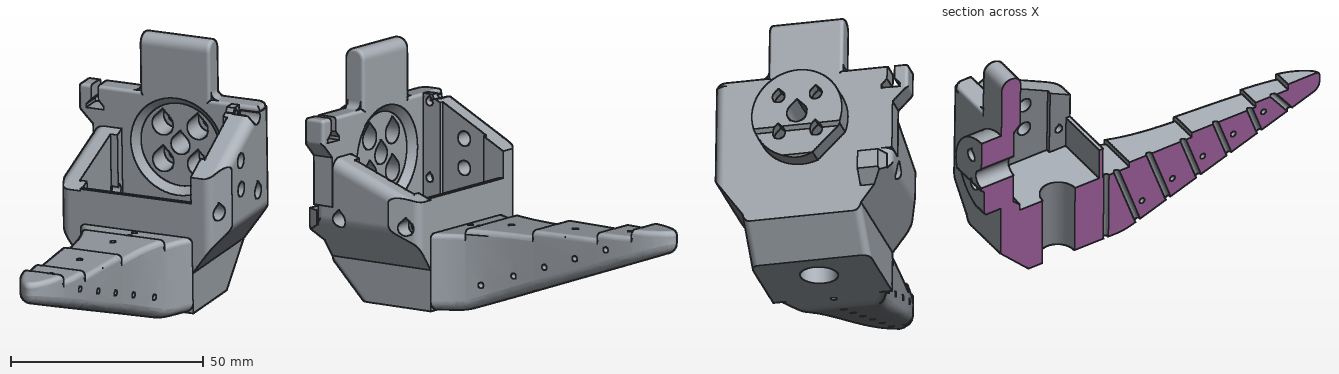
import cadquery as cq
import math

INNER_HALF = 15.85
POD_HALF = 24.0
REAR_Y = 31.8
PLATE_THICK = 6.0
PLATE_Y = REAR_Y - PLATE_THICK
PLATE_TOP = 49.6
FLOOR_Z = 20.8
FRONT_WALL = 1.2
FRONT_WALL_TOP = 30.1
TALL = 80.0

BASE_HALF = 16.0
BASE_REAR_CHAMFER = 8.8
BASE_SIDE_ROUND = 2.0
DRAIN_D = 10.0
DRAIN_Y = 13.7

POD_FOOT_Z = 11.0
POD_KNEE_Z = 22.0
POD_KNEE_ROUND = 4.0
POD_TAPER_Y = 7.8
POD_FRONT_HALF = 21.0
POD_CORNER_ROUND = 2.6
POD_OVERLAP = 2.0
POD_TOP_ROUND = 3.0
LEFT_REAR_Z, LEFT_FRONT_Z = 38.8, 29.6
RIGHT_FRONT_Z = 37.3
RIGHT_SLOPE = 0.51

PLATE_LEFT, PLATE_RIGHT = -24.1, 23.8
PLATE_BOTTOM = 26.0
TAB_CENTER, TAB_WIDTH, TAB_TOP = -0.45, 20.0, 65.45
TAB_FLAT = 0.1
TAB_ROOT_ROUND = 2.0
EDGE_ROUND = 0.9
CORNER_ROUND = 3.0
HOOK_LEFT = -28.1
HOOK_LOW_Z, HOOK_ROOT_Z = 43.2, 39.1
SLOT_CENTER, SLOT_NECK, SLOT_FOOT = -23.5, 2.0, 5.0
SLOT_BOTTOM_Z, SLOT_FOOT_Z, SLOT_NECK_Z = 43.3, 44.2, 45.8

BOSS_Z = 35.8
BOSS_R = 12.15
BOSS_Y = 37.95
BOSS_FLAT = 11.0
BOSS_STEP = 1.0
BOSS_STEP_Z = 31.2
BOSS_UNDERCUT_Z = 24.3
RECESS_R, RECESS_DEPTH = 13.3, 2.0
HORN_HOLE_D = 5.4
SCREW_PITCH = 10.0
SCREW_D, SCREW_HEAD_D = 3.3, 6.0
SCREW_WEB = 2.0

STEP_ENDS = [-8.2, -27.6, -47.4, -57.5]
STEP_TOPS = [20.6, 22.1, 23.6, 25.1, 26.9]
TIP_Y = -67.45
FLANK = [(16.0, 0.0), (13.6, -4.2), (11.9, -8.2), (10.2, -14.5), (8.65, -27.6), (7.3, -47.4), (5.9, -57.5)]
TIP_SHOULDER = (4.0, -63.2)
SOLE_Y = -6.8
SOLE_ANGLE = math.atan(0.355)
SOLE_BEND = 15.0
SOLE_ROUND = 2.8
STEP_ROUND = 1.3
LACE_D = 1.5
LACE_PITCH = 10.0
ROOT_HOLE_Y = -1.1
SOLE_HOLES, SOLE_HOLE_START = 6, 4.5
TIP_HOLE_LEAN = math.radians(37)
CROSS_HOLES, CROSS_HOLE_START, CROSS_HOLE_RISE = 5, 7.7, 5.3

RIDGE_OUTER, RIDGE_Y, RIDGE_TOP, RIDGE_CHAMFER = 18.0, 21.7, 48.4, 1.2
GROOVE_Y, GROOVE_RISE, GROOVE_R = 23.8, 0.8, 2.2

LUG_LEFT, LUG_RIGHT, LUG_SLANT = -22.8, -15.8, 1.5
LUG_Y, LUG_TOP, LUG_LOW = 35.2, 24.2, 19.2

LEFT_POCKET_Y, LEFT_POCKET_DEPTH = (4.0, 23.1), 2.0
RIGHT_POCKET_Y, RIGHT_POCKET_DEPTH = (6.3, 20.4), 1.2

POD_SCREW_D, POD_HEAD_D, POD_SCREW_WEB = 2.2, 4.0, 2.5
POD_SCREW_Y = (3.4, 23.8)
LEFT_SCREW_Z, RIGHT_SCREW_Z, RIGHT_HIGH_SCREW_Z = 22.7, 27.3, 47.6
CABLE_D, CABLE_Y, CABLE_Z = 4.0, 13.5, (31.0, 38.8)

ROLL, PITCH = 0.7, 0.4


def box(x0, x1, y0, y1, z0, z1):
    return cq.Workplane("XY").box(x1 - x0, y1 - y0, z1 - z0, centered=False).translate((x0, y0, z0))


def prism_x(points, x0, x1):
    """Extrude a (Y, Z) outline from x0 to x1."""
    return cq.Workplane("YZ", origin=(x0, 0, 0)).polyline(points).close().extrude(x1 - x0)


def prism_y(points, y0, y1):
    """Extrude an (X, Z) outline from y0 to y1."""
    return cq.Workplane("XZ", origin=(0, y0, 0)).polyline(points).close().extrude(y0 - y1)


def teardrop(plane, origin, diameter, length):
    """A hole tool with a 45 degree peak on top, extruded along the plane normal."""
    r = diameter / 2
    c = r * math.sqrt(0.5)
    sketch = cq.Workplane(plane, origin=origin).moveTo(-c, c).threePointArc((0, -r), (c, c))
    return sketch.lineTo(0, 2 * c).close().extrude(length)


def base_block():
    side = [(0, 0), (REAR_Y - BASE_REAR_CHAMFER, 0), (REAR_Y, BASE_REAR_CHAMFER),
            (REAR_Y, FRONT_WALL_TOP), (0, FRONT_WALL_TOP)]
    block = prism_x(side, -BASE_HALF, BASE_HALF)
    y_mid = REAR_Y - BASE_REAR_CHAMFER / 2
    for x in (-BASE_HALF, BASE_HALF):
        slanted = cq.selectors.NearestToPointSelector((x, y_mid, BASE_REAR_CHAMFER / 2))
        block = block.edges(slanted).fillet(BASE_SIDE_ROUND)
    return block


def pod_envelope(side, y0, y1):
    """Prism along Y bounded by a pod's outer face and its sloped underside."""
    section = [(INNER_HALF - POD_OVERLAP, POD_FOOT_Z), (BASE_HALF, POD_FOOT_Z), (POD_HALF, POD_KNEE_Z),
               (POD_HALF, TALL), (INNER_HALF - POD_OVERLAP, TALL)]
    return prism_y([(side * x, z) for x, z in section], y0, y1)


def pod(side, top_outline):
    """One side pod; side is -1 (left) or +1 (right), top_outline its (Y, Z) top from rear to front."""
    plan = [(0, 0), (side * POD_FRONT_HALF, 0), (side * POD_HALF, POD_TAPER_Y),
            (side * POD_HALF, REAR_Y), (0, REAR_Y)]
    body = cq.Workplane("XY").polyline(plan).close().extrude(TALL)
    for corner in ((side * POD_FRONT_HALF, 0, TALL / 2), (side * POD_HALF, REAR_Y, TALL / 2)):
        body = body.edges(cq.selectors.NearestToPointSelector(corner)).fillet(POD_CORNER_ROUND)
    side_profile = [(0, 0), (REAR_Y, 0)] + top_outline
    body = body.intersect(prism_x(side_profile, -POD_HALF, POD_HALF))

    (y_back, z_back), (y_front, z_front) = top_outline[-2:]
    slope = (z_back - z_front) / (y_back - y_front)
    y_straight = (POD_TAPER_Y + y_back - POD_CORNER_ROUND) / 2
    straight = (side * POD_HALF, y_straight, z_front + slope * y_straight)
    body = body.edges(cq.selectors.NearestToPointSelector(straight)).fillet(POD_TOP_ROUND)

    envelope = pod_envelope(side, 0, REAR_Y)
    knee = (side * POD_HALF, REAR_Y / 2, POD_KNEE_Z)
    envelope = envelope.edges(cq.selectors.NearestToPointSelector(knee)).fillet(POD_KNEE_ROUND)
    return body.intersect(envelope)


def left_pod():
    return pod(-1, [(REAR_Y, LEFT_REAR_Z), (PLATE_Y, LEFT_REAR_Z), (0, LEFT_FRONT_Z)])


def right_pod():
    """The taller pod: a groove along X separates its sloped top from the back plate."""
    rear_z = RIGHT_FRONT_Z + RIGHT_SLOPE * PLATE_Y
    body = pod(1, [(REAR_Y, rear_z), (PLATE_Y, rear_z), (0, RIGHT_FRONT_Z)])
    return body.cut(box(0, TALL, RIDGE_Y, TALL, RIDGE_TOP, TALL))


def groove():
    """Rounded valley across the right pod just in front of the back plate."""
    bar = cq.Workplane("YZ", origin=(RIDGE_OUTER, GROOVE_Y, RIDGE_TOP + GROOVE_RISE))
    return bar.circle(GROOVE_R).extrude(TALL)


def ridge():
    """Short upright lip that carries the inner wall up beside the groove."""
    profile = [(PLATE_Y, FLOOR_Z), (RIDGE_Y, FLOOR_Z), (RIDGE_Y, RIDGE_TOP - RIDGE_CHAMFER),
               (RIDGE_Y + RIDGE_CHAMFER, PLATE_TOP), (PLATE_Y, PLATE_TOP)]
    return prism_x(profile, INNER_HALF, RIDGE_OUTER)


def back_plate():
    """Plate with a rounded tab on top and a hook at the left, edges rounded front and rear."""
    tab_l = TAB_CENTER - TAB_WIDTH / 2
    tab_r = TAB_CENTER + TAB_WIDTH / 2
    outline = [(PLATE_LEFT, PLATE_BOTTOM), (PLATE_LEFT, HOOK_ROOT_Z), (HOOK_LEFT, HOOK_LOW_Z),
               (HOOK_LEFT, PLATE_TOP), (PLATE_RIGHT, PLATE_TOP), (PLATE_RIGHT, PLATE_BOTTOM)]
    plate = prism_y(outline, PLATE_Y, REAR_Y)
    corner = (PLATE_RIGHT, REAR_Y, (PLATE_TOP + PLATE_BOTTOM) / 2)
    plate = plate.edges(cq.selectors.NearestToPointSelector(corner)).fillet(CORNER_ROUND)
    plate = plate.faces(">Z or <X").edges().fillet(EDGE_ROUND)

    tab = box(tab_l, tab_r, PLATE_Y, REAR_Y, PLATE_BOTTOM, TAB_TOP)
    tab = tab.edges("|X and >Z").fillet(PLATE_THICK / 2 - TAB_FLAT)
    tab = tab.faces("<X or >X").edges("not <Z").fillet(EDGE_ROUND)

    slot_half = SLOT_NECK / 2
    foot_half = SLOT_FOOT / 2
    slot = [(-slot_half, TALL), (-slot_half, SLOT_NECK_Z), (-foot_half, SLOT_FOOT_Z),
            (-foot_half, SLOT_BOTTOM_Z), (foot_half, SLOT_BOTTOM_Z), (foot_half, SLOT_FOOT_Z),
            (slot_half, SLOT_NECK_Z), (slot_half, TALL)]
    slot_cut = prism_y([(SLOT_CENTER + x, z) for x, z in slot], PLATE_Y, REAR_Y)

    plate = plate.union(tab)
    for x, side in ((tab_l, -1), (tab_r, 1)):
        plate = plate.union(tab_root(x, side))
    return plate.cut(slot_cut)


def tab_root(x, side):
    """Concave gusset in the corner between the tab and the plate's top."""
    r = TAB_ROOT_ROUND
    shape = cq.Workplane("XZ", origin=(x, REAR_Y - EDGE_ROUND, PLATE_TOP))
    shape = shape.moveTo(-side * r, -r).lineTo(side * r, -r).lineTo(side * r, 0)
    shape = shape.radiusArc((0, r), side * r).lineTo(-side * r, r).close()
    return shape.extrude(PLATE_THICK - 2 * EDGE_ROUND)


def boss():
    """Round boss behind the plate with a slanted flat at its lower left and an undercut rear end."""
    body = cq.Workplane("XZ", origin=(0, BOSS_Y, BOSS_Z)).circle(BOSS_R).extrude(BOSS_Y - PLATE_Y)
    flat = cq.Workplane("XY").box(TALL, TALL, TALL).translate((-BOSS_FLAT - TALL / 2, 0, 0))
    flat = flat.rotate((0, 0, 0), (0, 1, 0), -45).translate((0, REAR_Y + TALL / 2, BOSS_Z))
    step_y = BOSS_Y - BOSS_STEP
    end_cut = [(BOSS_Y, BOSS_STEP_Z + BOSS_STEP), (step_y, BOSS_STEP_Z), (step_y, BOSS_UNDERCUT_Z),
               (step_y - BOSS_UNDERCUT_Z, 0), (BOSS_Y, 0)]
    return body.cut(flat).cut(prism_x(end_cut, -BOSS_R, BOSS_R))


def lug():
    """Small block behind the lower left of the plate, sloped at its left and underneath."""
    profile = [(PLATE_Y, LUG_TOP), (LUG_Y, LUG_TOP), (LUG_Y, LUG_LOW),
               (PLATE_Y, LUG_LOW - (LUG_Y - PLATE_Y))]
    block = prism_x(profile, LUG_LEFT, LUG_RIGHT)
    plan = [(LUG_LEFT, REAR_Y), (LUG_LEFT + LUG_SLANT, LUG_Y), (LUG_RIGHT, LUG_Y),
            (LUG_RIGHT, PLATE_Y), (LUG_LEFT, PLATE_Y)]
    block = block.intersect(cq.Workplane("XY").polyline(plan).close().extrude(TALL))
    return block.intersect(pod_envelope(-1, PLATE_Y, LUG_Y))


def cavity():
    """Open-topped box with a thin low front wall and a shallow pocket in each side wall."""
    room = box(-INNER_HALF, INNER_HALF, FRONT_WALL, PLATE_Y, FLOOR_Z, TALL)
    room = room.union(box(-INNER_HALF, INNER_HALF, 0, PLATE_Y, FRONT_WALL_TOP, TALL))
    left_y0, left_y1 = LEFT_POCKET_Y
    right_y0, right_y1 = RIGHT_POCKET_Y
    left_x = -INNER_HALF - LEFT_POCKET_DEPTH
    room = room.union(box(left_x, 0, left_y0, left_y1, FLOOR_Z, TALL))
    return room.union(box(0, INNER_HALF + RIGHT_POCKET_DEPTH, right_y0, right_y1, FLOOR_Z, TALL))


def horn_recess():
    """Conical recess in the front of the plate with a centre hole and four counterbored screw holes."""
    small_r = RECESS_R - RECESS_DEPTH
    face = cq.Workplane("XZ", origin=(0, PLATE_Y, BOSS_Z)).circle(RECESS_R)
    cut = face.workplane(offset=-RECESS_DEPTH).circle(small_r).loft()
    cut = cut.union(teardrop("XZ", (0, BOSS_Y, BOSS_Z), HORN_HOLE_D, BOSS_Y - PLATE_Y))
    head_y = BOSS_Y - BOSS_STEP - SCREW_WEB
    for x in (-SCREW_PITCH / 2, SCREW_PITCH / 2):
        for z in (BOSS_Z - SCREW_PITCH / 2, BOSS_Z + SCREW_PITCH / 2):
            cut = cut.union(teardrop("XZ", (x, BOSS_Y, z), SCREW_D, BOSS_Y - PLATE_Y))
            cut = cut.union(teardrop("XZ", (x, head_y, z), SCREW_HEAD_D, head_y - PLATE_Y))
    return cut


def pod_screw(side, y, z):
    """Teardrop screw hole through a pod with a counterbore from outside."""
    start = INNER_HALF - POD_OVERLAP if side > 0 else -POD_HALF
    length = POD_HALF - INNER_HALF + POD_OVERLAP
    hole = teardrop("YZ", (start, y, z), POD_SCREW_D, length)
    head_x = INNER_HALF + POD_SCREW_WEB if side > 0 else -POD_HALF
    return hole.union(teardrop("YZ", (head_x, y, z), POD_HEAD_D, POD_HALF - INNER_HALF - POD_SCREW_WEB))


def housing_holes():
    cut = cq.Workplane("XY").center(0, DRAIN_Y).circle(DRAIN_D / 2).extrude(FLOOR_Z)
    for y in POD_SCREW_Y:
        cut = cut.union(pod_screw(-1, y, LEFT_SCREW_Z))
        cut = cut.union(pod_screw(1, y, RIGHT_SCREW_Z))
    cut = cut.union(pod_screw(1, POD_SCREW_Y[1], RIGHT_HIGH_SCREW_Z))
    for z in CABLE_Z:
        cut = cut.union(cq.Workplane("YZ", origin=(0, CABLE_Y, z)).circle(CABLE_D / 2).extrude(TALL))
    return cut


def finger_plan():
    """Tapering plan outline, mirrored about X = 0, extruded upwards."""
    root, knuckle = FLANK[0], FLANK[2]
    right = FLANK[3:] + [TIP_SHOULDER, (0, TIP_Y)]
    left = [(-x, y) for x, y in right[-2::-1]]
    sketch = cq.Workplane("XY").moveTo(-root[0], root[1]).lineTo(*root)
    sketch = sketch.threePointArc(FLANK[1], knuckle)
    sketch = sketch.spline(right + left + [(-knuckle[0], knuckle[1])], includeCurrent=True)
    sketch = sketch.threePointArc((-FLANK[1][0], FLANK[1][1]), (-root[0], root[1]))
    return sketch.close().extrude(STEP_TOPS[-1] + STEP_ROUND)


def finger():
    """Tapering finger with a rising, rounded sole and a stepped top."""
    plan = finger_plan()
    run = SOLE_Y - TIP_Y
    sole = prism_x([(SOLE_Y, 0), (TIP_Y, 0), (TIP_Y, run * math.tan(SOLE_ANGLE))], -BASE_HALF, BASE_HALF)
    core = plan.cut(sole)
    core = core.edges(cq.selectors.NearestToPointSelector((0, SOLE_Y, 0))).fillet(SOLE_BEND)
    rising = cq.Vector(0, -math.sin(SOLE_ANGLE), -math.cos(SOLE_ANGLE))
    core = core.faces(cq.selectors.DirectionNthSelector(rising, -1)).edges("not |X").fillet(SOLE_ROUND)

    steps = None
    starts = [0] + STEP_ENDS
    ends = STEP_ENDS + [TIP_Y]
    for y_start, y_end, top in zip(starts, ends, STEP_TOPS):
        step = core.intersect(box(-BASE_HALF, BASE_HALF, y_end, y_start, 0, top))
        step = step.faces(">Z").edges("not |X").fillet(STEP_ROUND)
        steps = step if steps is None else steps.union(step, clean=False)
    return steps


def finger_holes():
    """Lacing holes: one upright at the root, a row along the sole, and a row across the finger."""
    hole_r = LACE_D / 2
    cut = cq.Workplane("XY").center(0, ROOT_HOLE_Y).circle(hole_r).extrude(TALL)
    along = (-math.cos(SOLE_ANGLE), math.sin(SOLE_ANGLE))
    for i in range(SOLE_HOLES):
        s = SOLE_HOLE_START + i * LACE_PITCH
        lean = SOLE_ANGLE if i < SOLE_HOLES - 1 else TIP_HOLE_LEAN
        normal = (0, math.sin(lean), math.cos(lean))
        plane = cq.Plane((0, SOLE_Y + s * along[0], s * along[1]), (1, 0, 0), normal)
        cut = cut.union(cq.Workplane(plane).workplane(offset=-LACE_D).circle(hole_r).extrude(TALL / 2))
    for i in range(CROSS_HOLES):
        s = CROSS_HOLE_START + i * LACE_PITCH
        y = SOLE_Y + s * along[0] + CROSS_HOLE_RISE * along[1]
        z = s * along[1] - CROSS_HOLE_RISE * along[0]
        cut = cut.union(cq.Workplane("YZ", origin=(-BASE_HALF, y, z)).circle(hole_r).extrude(2 * BASE_HALF))
    return cut


def gripper():
    body = base_block().union(left_pod()).union(right_pod()).cut(groove())
    body = body.cut(cavity()).union(ridge()).union(back_plate()).union(boss()).union(lug())
    body = body.cut(horn_recess()).cut(housing_holes())
    body = body.union(finger(), clean=False).cut(finger_holes(), clean=False)
    body = body.rotate((0, 0, 0), (0, 1, 0), -ROLL)
    return body.rotate((0, 0, 0), (1, 0, 0), PITCH)


body = gripper()
result = cq.Compound.makeCompound([body.val()])